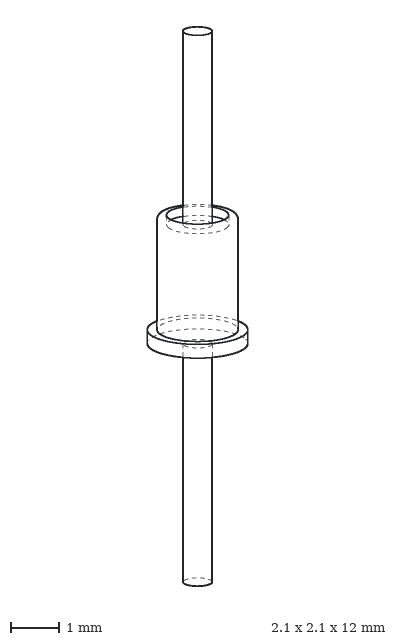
import cadquery as cq

pin_length = 12.0
pin_diameter = 0.61

flange_diameter = 2.1
flange_thickness = 0.3
flange_bottom = 5.2
sleeve_diameter = 1.69
sleeve_length = 2.8
sleeve_top = flange_bottom + sleeve_length
rim_fillet = 0.1

recess_diameter = 1.3
recess_depth = 0.2


def cylinder(diameter, bottom, height):
    """Cylinder on the Z axis, starting at the given height."""
    return cq.Workplane("XY").workplane(offset=bottom).circle(diameter / 2).extrude(height)


flange = cylinder(flange_diameter, flange_bottom, flange_thickness)
barrel = cylinder(sleeve_diameter, flange_bottom, sleeve_length).faces(">Z").edges().fillet(rim_fillet)
recess = cylinder(recess_diameter, sleeve_top - recess_depth, recess_depth)
pin = cylinder(pin_diameter, 0, pin_length)

result = flange.union(barrel).cut(recess).union(pin)